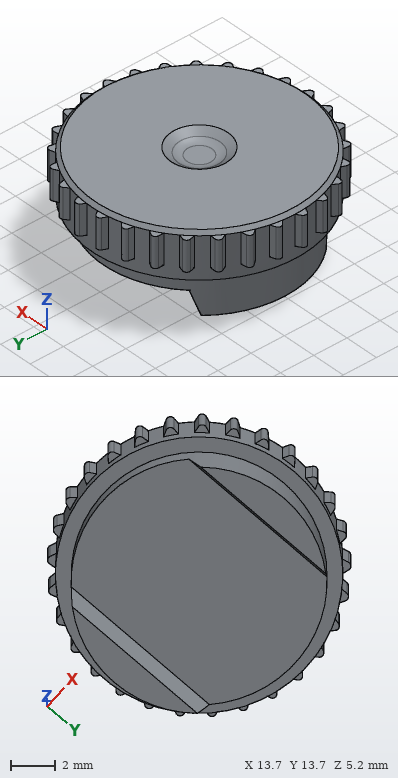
import cadquery as cq
import math

total_height = 5.2
flange_radius = 6.48
flange_bottom = 2.5
rim_chamfer = 0.2
hub_radius = 5.77

rib_count = 29
rib_tip_radius = 6.85
rib_flank_angle = 31.0
rib_tip_rounding = 0.2
rib_root_overlap = 0.14
rib_bottom = 3.2
rib_top = total_height - rim_chamfer

slot_height = 1.4
slot_roof_width = 8.0
slot_wall_angle = 15.0

dimple_radius = 1.7
dimple_blend_radius = 1.23
dimple_floor_radius = 0.74
dimple_cone_angle = 33.0


def make_body():
    hub = cq.Workplane("XY").circle(hub_radius).extrude(flange_bottom)
    flange = (
        cq.Workplane("XY", origin=(0, 0, flange_bottom))
        .circle(flange_radius)
        .extrude(total_height - flange_bottom)
        .faces(">Z")
        .edges()
        .chamfer(rim_chamfer)
    )
    return hub.union(flange)


def make_rib():
    """Tapered rib with a round tip, on the -Y side of the flange."""
    flank = math.radians(rib_flank_angle)
    tip_centre = rib_tip_radius - rib_tip_rounding
    tangent_half_width = rib_tip_rounding * math.cos(flank)
    tangent_radius = tip_centre + rib_tip_rounding * math.sin(flank)
    root_radius = flange_radius - rib_root_overlap
    root_half_width = tangent_half_width + (tangent_radius - root_radius) * math.tan(flank)
    return (
        cq.Workplane("XY", origin=(0, 0, rib_bottom))
        .moveTo(-root_half_width, -root_radius)
        .lineTo(-tangent_half_width, -tangent_radius)
        .threePointArc((0, -rib_tip_radius), (tangent_half_width, -tangent_radius))
        .lineTo(root_half_width, -root_radius)
        .close()
        .extrude(rib_top - rib_bottom)
    )


def make_slot():
    roof_half = slot_roof_width / 2
    mouth_half = roof_half + slot_height * math.tan(math.radians(slot_wall_angle))
    return (
        cq.Workplane("XZ")
        .moveTo(-mouth_half, 0)
        .lineTo(-roof_half, slot_height)
        .lineTo(roof_half, slot_height)
        .lineTo(mouth_half, 0)
        .close()
        .extrude(flange_radius, both=True)
    )


def make_dimple():
    slope = math.radians(dimple_cone_angle)
    blend_rounding = (dimple_blend_radius - dimple_floor_radius) / math.sin(slope)
    blend_z = total_height - (dimple_radius - dimple_blend_radius) * math.tan(slope)
    floor_z = blend_z - blend_rounding * (1 - math.cos(slope))
    blend_middle = (
        dimple_floor_radius + blend_rounding * math.sin(slope / 2),
        floor_z + blend_rounding * (1 - math.cos(slope / 2)),
    )
    return (
        cq.Workplane("XZ")
        .moveTo(0, total_height)
        .lineTo(dimple_radius, total_height)
        .lineTo(dimple_blend_radius, blend_z)
        .threePointArc(blend_middle, (dimple_floor_radius, floor_z))
        .lineTo(0, floor_z)
        .close()
        .revolve(360, (0, 0, 0), (0, 1, 0))
    )


result = make_body()
rib = make_rib()
for index in range(rib_count):
    result = result.union(rib.rotate((0, 0, 0), (0, 0, 1), index * 360 / rib_count))
result = result.cut(make_slot()).cut(make_dimple())